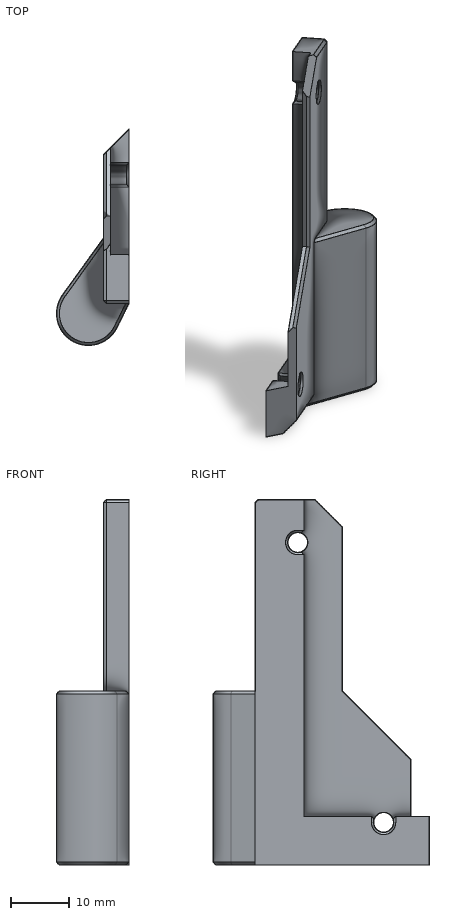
import cadquery as cq
import math


knuckle_radius = 5.5
knuckle_height = 30.0
flank_end_y = 13.0

total_height = 63.0
back_x = 7.0
plate_thickness = 4.4
wing_thickness = 1.2
face_x = back_x - plate_thickness
wing_back_x = face_x + wing_thickness
edge_y = 1.75
tip_y = 31.8
wing_end_y = tip_y - (back_x - wing_back_x)
pole_width = 15.05
pole_end_y = edge_y + pole_width
shoulder_top_z = knuckle_height
shoulder_drop = wing_end_y - pole_end_y
rail_width = 8.4
rail_end_y = edge_y + rail_width
foot_height = rail_width

edge_chamfer = 0.5
corner_cut = 4.75
bottom_bevel = 1.9

hole_diameter = 3.4
hole_chamfer = 0.4
slot_depth = 1.05
upper_hole_drop = 7.4
lower_hole_setback = 7.9
upper_hole = (rail_end_y - slot_depth, total_height - upper_hole_drop)
lower_hole = (tip_y - lower_hole_setback, foot_height - slot_depth)


def tangent_point(x, y, side):
    """Point where the line from (x, y) touches the knuckle circle; side is +1 or -1."""
    angle = math.atan2(y, x) + side * math.acos(knuckle_radius / math.hypot(x, y))
    return (knuckle_radius * math.cos(angle), knuckle_radius * math.sin(angle))


def make_knuckle():
    long_touch = tangent_point(face_x, flank_end_y, 1)
    short_touch = tangent_point(back_x, edge_y, -1)
    flank_slope = (flank_end_y - long_touch[1]) / (face_x - long_touch[0])
    flank_back_y = flank_end_y + flank_slope * plate_thickness
    flank_side = math.atan2(long_touch[1] + short_touch[1], long_touch[0] + short_touch[0])
    arc_middle = (-knuckle_radius * math.cos(flank_side), -knuckle_radius * math.sin(flank_side))
    body = (
        cq.Workplane("XY")
        .moveTo(back_x, flank_back_y)
        .lineTo(*long_touch)
        .threePointArc(arc_middle, short_touch)
        .lineTo(back_x, edge_y)
        .close()
        .extrude(knuckle_height)
    )
    return body.faces("|Z").edges("not(>X)").chamfer(edge_chamfer)


def box_between(low, high):
    size = [b - a for a, b in zip(low, high)]
    return cq.Workplane("XY").box(*size, centered=False).translate(low)


def bevel_cutter(point, outward):
    """Wedge that removes all material outside a 45 degree plane through point.

    The plane leans inward, against outward, toward the front face of the plate.
    """
    reach = 2 * plate_thickness
    direction = cq.Vector(*outward)
    along = direction.cross(cq.Vector(1, 0, 0))
    return (
        cq.Workplane(cq.Plane(origin=point, xDir=outward, normal=along.toTuple()))
        .polyline([(-reach, -reach), (reach, -reach), (reach, reach)])
        .close()
        .extrude(total_height, both=True)
    )


def make_plate():
    wing = (
        cq.Workplane("YZ", origin=(face_x, 0, 0))
        .polyline([
            (edge_y, 0),
            (wing_end_y, 0),
            (wing_end_y, shoulder_top_z - shoulder_drop),
            (pole_end_y, shoulder_top_z),
            (pole_end_y, total_height),
            (edge_y, total_height),
        ])
        .close()
        .extrude(wing_thickness)
    )
    rail = box_between((face_x, edge_y, 0), (back_x, rail_end_y, total_height))
    plate = wing.union(rail)
    top_front_edge = plate.edges("|X").edges(">Z").edges("<Y")
    plate = plate.faces("<X").edges().add(top_front_edge).chamfer(edge_chamfer)

    foot = box_between((wing_back_x, edge_y, 0), (back_x, tip_y, foot_height))
    plate = plate.union(foot)
    plate = plate.cut(bevel_cutter((back_x, tip_y, 0), (0, 1, 0)))
    plate = plate.cut(bevel_cutter((wing_back_x, pole_end_y, total_height - corner_cut), (0, 1, 1)))
    return plate.cut(bevel_cutter((face_x + bottom_bevel, 0, 0), (0, 0, -1)))


def rebate_cutter():
    """Recess behind the wing, above the foot and beside the rail."""
    return box_between((wing_back_x, rail_end_y, foot_height), (back_x, tip_y, total_height))


def hole_cutter():
    """Through hole along X about the origin, flared at both ends, open toward +Y behind the wing.

    The face of the plate lies at X = 0.
    """
    radius = hole_diameter / 2
    flared = radius + hole_chamfer
    bore = (
        cq.Workplane("XY")
        .lineTo(0, flared)
        .lineTo(hole_chamfer, radius)
        .lineTo(plate_thickness - hole_chamfer, radius)
        .lineTo(plate_thickness, flared)
        .lineTo(plate_thickness, 0)
        .close()
        .revolve(360, (0, 0, 0), (1, 0, 0))
    )
    slot = (
        cq.Workplane("YZ", origin=(wing_thickness, 0, 0))
        .polyline([
            (0, -radius),
            (slot_depth - hole_chamfer, -radius),
            (slot_depth, -flared),
            (slot_depth, flared),
            (slot_depth - hole_chamfer, radius),
            (0, radius),
        ])
        .close()
        .extrude(plate_thickness - wing_thickness)
    )
    slot_flare = (
        cq.Workplane("XZ")
        .polyline([
            (plate_thickness - hole_chamfer, -radius),
            (plate_thickness, -flared),
            (plate_thickness, flared),
            (plate_thickness - hole_chamfer, radius),
        ])
        .close()
        .extrude(-slot_depth)
    )
    return bore.union(slot).union(slot_flare)


hole = hole_cutter()
upper_cut = hole.translate((face_x, *upper_hole))
lower_cut = hole.rotate((0, 0, 0), (1, 0, 0), 90).translate((face_x, *lower_hole))

result = make_plate().union(make_knuckle()).cut(rebate_cutter())
result = result.cut(upper_cut).cut(lower_cut)